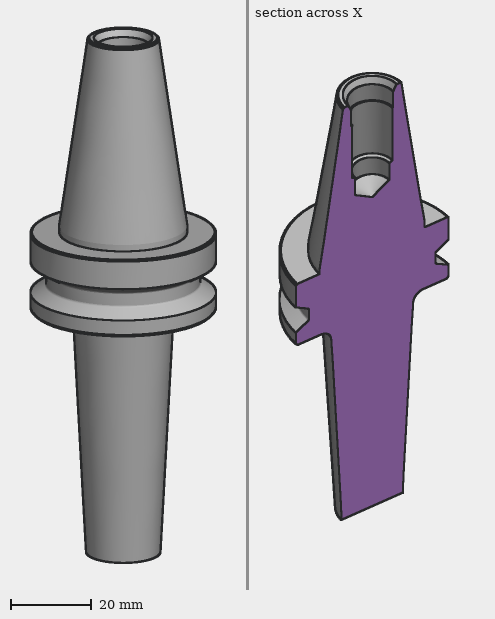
import cadquery as cq
import math

taper_length = 48.4
nose_end_z = -85.0
taper_start_z = -0.4
flange_top_z = -2.0
flange_bottom_z = -22.0

gauge_radius = 31.75 / 2
taper_half_slope = 7 / 24 / 2
taper_top_radius = gauge_radius - taper_length * taper_half_slope
taper_top_chamfer = 0.4

flange_radius = 46.0 / 2
flange_chamfer = 0.4
flange_bottom_chamfer = 0.6
groove_radius = 19.1
groove_center_z = -13.6
groove_floor_width = 3.6
groove_floor_top_z = groove_center_z + groove_floor_width / 2
groove_floor_bottom_z = groove_center_z - groove_floor_width / 2
groove_flank_angle = math.radians(30)
groove_corner_radius = 0.5
groove_flank_height = (flange_radius - groove_radius) * math.tan(groove_flank_angle)

selection_margin = 0.05

nose_end_radius = 9.25
nose_half_angle = math.radians(3)
nose_fillet_radius = 3.0

mouth_radius = 7.3
pilot_radius = 6.25
mouth_half_angle = math.radians(30)
mouth_depth = (mouth_radius - pilot_radius) / math.tan(mouth_half_angle)
pilot_depth = 7.0
thread_radius = 6.0
thread_depth = 24.0
drill_radius = 5.1
drill_depth = 30.0
drill_half_angle = math.radians(59)


def make_body():
    """Revolve the outer outline around Z, including the fillet under the flange."""
    nose_slope = math.tan(nose_half_angle)
    fillet_center_z = flange_bottom_z - nose_fillet_radius
    wall_radius = nose_end_radius + (fillet_center_z - nose_end_z) * nose_slope
    fillet_center_r = wall_radius + nose_fillet_radius / math.cos(nose_half_angle)

    def fillet_point(angle):
        return (
            fillet_center_r + nose_fillet_radius * math.cos(angle),
            fillet_center_z + nose_fillet_radius * math.sin(angle),
        )

    wall_angle = math.pi - nose_half_angle
    flange_angle = math.pi / 2
    outline = (
        cq.Workplane("XZ")
        .moveTo(0, nose_end_z)
        .lineTo(nose_end_radius, nose_end_z)
        .lineTo(*fillet_point(wall_angle))
        .threePointArc(fillet_point((wall_angle + flange_angle) / 2), fillet_point(flange_angle))
        .lineTo(flange_radius - flange_bottom_chamfer, flange_bottom_z)
        .lineTo(flange_radius, flange_bottom_z + flange_bottom_chamfer)
        .lineTo(flange_radius, groove_floor_bottom_z - groove_flank_height)
        .lineTo(groove_radius, groove_floor_bottom_z)
        .lineTo(groove_radius, groove_floor_top_z)
        .lineTo(flange_radius, groove_floor_top_z + groove_flank_height)
        .lineTo(flange_radius, flange_top_z - flange_chamfer)
        .lineTo(flange_radius - flange_chamfer, flange_top_z)
        .lineTo(gauge_radius, flange_top_z)
        .lineTo(gauge_radius, taper_start_z)
        .lineTo(taper_top_radius + taper_top_chamfer * taper_half_slope, taper_length - taper_top_chamfer)
        .lineTo(taper_top_radius - taper_top_chamfer, taper_length)
        .lineTo(0, taper_length)
        .close()
    )
    body = outline.revolve(360, (0, 0, 0), (0, 1, 0))
    return round_groove_corners(body)


def round_groove_corners(body):
    """Fillet the two inner corners at the floor of the gripper groove."""
    for corner_z in (groove_floor_top_z, groove_floor_bottom_z):
        corner_edge = cq.selectors.BoxSelector(
            (-flange_radius, -flange_radius, corner_z - selection_margin),
            (flange_radius, flange_radius, corner_z + selection_margin),
            boundingbox=True,
        )
        body = body.edges(corner_edge).fillet(groove_corner_radius)
    return body


def make_bore():
    """Centering mouth, pilot step, thread bore and drilled core hole ending in a drill point."""
    drill_slope = math.tan(drill_half_angle)
    drill_floor_z = taper_length - drill_depth
    thread_floor_z = taper_length - thread_depth
    outline = (
        cq.Workplane("XZ")
        .moveTo(0, taper_length)
        .lineTo(mouth_radius, taper_length)
        .lineTo(pilot_radius, taper_length - mouth_depth)
        .lineTo(pilot_radius, taper_length - pilot_depth)
        .lineTo(thread_radius, taper_length - pilot_depth)
        .lineTo(thread_radius, thread_floor_z)
        .lineTo(drill_radius, thread_floor_z - (thread_radius - drill_radius) / drill_slope)
        .lineTo(drill_radius, drill_floor_z)
        .lineTo(0, drill_floor_z - drill_radius / drill_slope)
        .close()
    )
    return outline.revolve(360, (0, 0, 0), (0, 1, 0))


result = make_body().cut(make_bore())